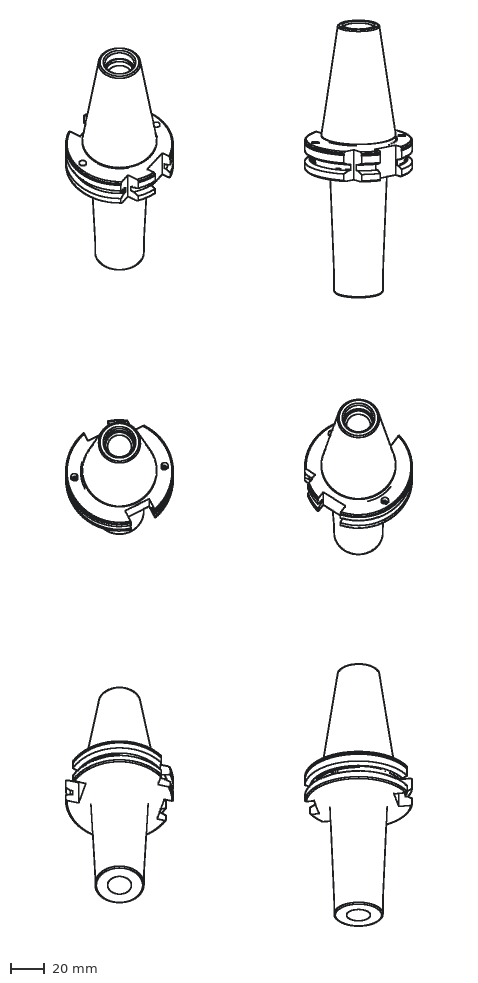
import cadquery as cq
import math

total_height = 162.4
gauge_z = 94.0
taper_bottom_z = 95.3
flange_bottom_z = 74.9
flange_top_z = 93.0

gauge_radius = 22.2
taper_half_slope = 7 / 48
taper_end_radius = gauge_radius - (total_height - gauge_z) * taper_half_slope
taper_bottom_radius = gauge_radius - (taper_bottom_z - gauge_z) * taper_half_slope
taper_end_chamfer = 0.8
neck_radius = 21.6
neck_root_fillet = 1.3

flange_diameter = 63.5
flange_radius = flange_diameter / 2
flange_chamfer = 0.8
groove_shoulder_radius = 29.0
groove_floor_radius = 27.6
groove_floor_width = 3.5
groove_corner_fillet = 0.5
groove_flank_angle = 30.0
groove_center_z = 82.8
rim_line_z = 91.1
rim_line_width = 0.5
rim_line_depth = 0.2

nose_end_radius = 14.5
nose_straight_height = 10.2
nose_top_radius = 16.9
nose_fillet = 2.6
nose_end_chamfer = 0.8

through_radius = 7.0
step_radius = 8.1
entry_radius = 8.6
entry_chamfer = 1.0
entry_depth = 5.8
step_depth = 7.8
cone_end_depth = 10.0

slot_width = 15.9
left_slot_floor_x = -22.7
right_slot_floor_x = 25.2
corner_notch_x = 18.5
corner_notch_y = -18.4

coolant_hole_radius = 2.1
coolant_hole_pitch_radius = 26.8
coolant_hole_angles = (70.0, 250.0)
coolant_hole_bottom_z = groove_center_z - groove_floor_width / 2
screw_radius = 1.5
screw_pitch_radius = 26.3
screw_top_z = 89.3
socket_radius = 0.6
socket_depth = 1.6


def make_body():
    """Taper, flange and nose revolved about Z."""
    flank_rise = (flange_radius - groove_shoulder_radius) * math.tan(math.radians(groove_flank_angle))
    floor_low_z = groove_center_z - groove_floor_width / 2
    floor_high_z = groove_center_z + groove_floor_width / 2
    flange_land = flange_radius - flange_chamfer
    rim_line_radius = flange_radius - rim_line_depth
    arc_sag = 1 - math.sqrt(0.5)
    fillet_middle = nose_fillet * arc_sag
    corner_middle = groove_corner_fillet * arc_sag
    root_middle = neck_root_fillet * arc_sag
    profile = (
        cq.Workplane("XZ")
        .lineTo(nose_end_radius - nose_end_chamfer, 0)
        .lineTo(nose_end_radius, nose_end_chamfer)
        .lineTo(nose_end_radius, nose_straight_height)
        .lineTo(nose_top_radius, flange_bottom_z - nose_fillet)
        .threePointArc(
            (nose_top_radius + fillet_middle, flange_bottom_z - fillet_middle),
            (nose_top_radius + nose_fillet, flange_bottom_z),
        )
        .lineTo(flange_land, flange_bottom_z)
        .lineTo(flange_radius, flange_bottom_z + flange_chamfer)
        .lineTo(flange_radius, floor_low_z - flank_rise)
        .lineTo(groove_shoulder_radius, floor_low_z)
        .lineTo(groove_floor_radius + groove_corner_fillet, floor_low_z)
        .threePointArc(
            (groove_floor_radius + corner_middle, floor_low_z + corner_middle),
            (groove_floor_radius, floor_low_z + groove_corner_fillet),
        )
        .lineTo(groove_floor_radius, floor_high_z - groove_corner_fillet)
        .threePointArc(
            (groove_floor_radius + corner_middle, floor_high_z - corner_middle),
            (groove_floor_radius + groove_corner_fillet, floor_high_z),
        )
        .lineTo(groove_shoulder_radius, floor_high_z)
        .lineTo(flange_radius, floor_high_z + flank_rise)
        .lineTo(flange_radius, rim_line_z - rim_line_width / 2)
        .lineTo(rim_line_radius, rim_line_z - rim_line_width / 2)
        .lineTo(rim_line_radius, rim_line_z + rim_line_width / 2)
        .lineTo(flange_radius, rim_line_z + rim_line_width / 2)
        .lineTo(flange_radius, flange_top_z - flange_chamfer)
        .lineTo(flange_land, flange_top_z)
        .lineTo(neck_radius + neck_root_fillet, flange_top_z)
        .threePointArc(
            (neck_radius + root_middle, flange_top_z + root_middle),
            (neck_radius, flange_top_z + neck_root_fillet),
        )
        .lineTo(neck_radius, taper_bottom_z)
        .lineTo(taper_bottom_radius, taper_bottom_z)
        .lineTo(taper_end_radius + taper_end_chamfer * taper_half_slope, total_height - taper_end_chamfer)
        .lineTo(taper_end_radius - taper_end_chamfer, total_height)
        .lineTo(0, total_height)
        .close()
    )
    return profile.revolve(360, (0, 0, 0), (0, 1, 0))


def make_bore():
    """Through bore with a stepped, chamfered entry at the taper end."""
    step_z = total_height - step_depth
    entry_z = total_height - entry_depth
    profile = (
        cq.Workplane("XZ")
        .lineTo(through_radius, 0)
        .lineTo(through_radius, total_height - cone_end_depth)
        .lineTo(step_radius, step_z)
        .lineTo(step_radius, entry_z)
        .lineTo(entry_radius, entry_z)
        .lineTo(entry_radius, total_height - entry_chamfer)
        .lineTo(entry_radius + entry_chamfer, total_height)
        .lineTo(0, total_height)
        .close()
    )
    return profile.revolve(360, (0, 0, 0), (0, 1, 0))


def flange_cut(x_range, y_range):
    """Block through the full flange thickness."""
    return cq.Workplane("XY").box(
        x_range[1] - x_range[0],
        y_range[1] - y_range[0],
        flange_top_z - flange_bottom_z,
        centered=False,
    ).translate((x_range[0], y_range[0], flange_bottom_z))


def coolant_hole(angle):
    """Axial hole from the flange top that breaks into the groove, less the screw left standing in it."""
    hole = cq.Solid.makeCylinder(
        coolant_hole_radius,
        flange_top_z - coolant_hole_bottom_z,
        cq.Vector(coolant_hole_pitch_radius, 0, coolant_hole_bottom_z),
    )
    screw = cq.Solid.makeCylinder(
        screw_radius,
        screw_top_z - coolant_hole_bottom_z,
        cq.Vector(screw_pitch_radius, 0, coolant_hole_bottom_z),
    )
    socket = cq.Solid.makeCylinder(
        socket_radius,
        socket_depth,
        cq.Vector(screw_pitch_radius, 0, screw_top_z - socket_depth),
    )
    return cq.Workplane(hole.cut(screw.cut(socket))).rotate((0, 0, 0), (0, 0, 1), angle)


slot_span = (-slot_width / 2, slot_width / 2)
result = make_body().cut(make_bore())
result = result.cut(flange_cut((-flange_radius, left_slot_floor_x), slot_span))
result = result.cut(flange_cut((right_slot_floor_x, flange_radius), slot_span))
result = result.cut(flange_cut((corner_notch_x, flange_radius), (-flange_radius, corner_notch_y)))
for hole_angle in coolant_hole_angles:
    result = result.cut(coolant_hole(hole_angle))